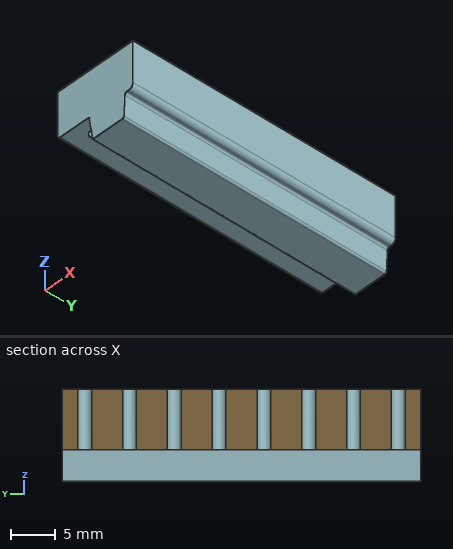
import cadquery as cq
import math

WIDTH = 12.4
LENGTH = 40.0
HEIGHT = 10.3

BLOCK_HEIGHT = 6.8
LEFT_EDGE_RADIUS = 0.5
RIGHT_EDGE_RADIUS = 0.7

LEG_BOTTOM_LEFT = 5.8
LEG_BOTTOM_RIGHT = 10.9
LEFT_DRAFT = 10.0
RIGHT_DRAFT = 3.0
RIGHT_ROOT_RADIUS = 0.3
FOOT_RADIUS = 0.3

HOLE_COUNT = 8
HOLE_PITCH = LENGTH / HOLE_COUNT
HOLE_DIAMETER = 1.5
HOLE_X = 3.5

LEDGE_Z = HEIGHT - BLOCK_HEIGHT
LEG_TOP_LEFT = LEG_BOTTOM_LEFT - LEDGE_Z * math.tan(math.radians(LEFT_DRAFT))
LEG_TOP_RIGHT = LEG_BOTTOM_RIGHT + LEDGE_Z * math.tan(math.radians(RIGHT_DRAFT))


def round_long_edge(body, x, z, radius):
    """Fillet the lengthwise edge at the profile corner (x, z)."""
    edge = cq.selectors.NearestToPointSelector((x, LENGTH / 2, z))
    return body.edges("|Y").edges(edge).fillet(radius)


def make_bar():
    """Extrude the block-and-leg profile along Y, then round its outer and root edges."""
    profile = [
        (0, HEIGHT),
        (0, LEDGE_Z),
        (LEG_TOP_LEFT, LEDGE_Z),
        (LEG_BOTTOM_LEFT, 0),
        (LEG_BOTTOM_RIGHT, 0),
        (LEG_TOP_RIGHT, LEDGE_Z),
        (WIDTH, LEDGE_Z),
        (WIDTH, HEIGHT),
    ]
    body = cq.Workplane("XZ").polyline(profile).close().extrude(-LENGTH)
    body = round_long_edge(body, 0, LEDGE_Z, LEFT_EDGE_RADIUS)
    body = round_long_edge(body, WIDTH, LEDGE_Z, RIGHT_EDGE_RADIUS)
    body = round_long_edge(body, LEG_TOP_RIGHT, LEDGE_Z, RIGHT_ROOT_RADIUS)
    return round_long_edge(body, LEG_BOTTOM_RIGHT, 0, FOOT_RADIUS)


def make_holes():
    """Cylinders along Z, evenly spaced with half a pitch at each end."""
    centers = [(HOLE_X, (i + 0.5) * HOLE_PITCH) for i in range(HOLE_COUNT)]
    return cq.Workplane("XY").pushPoints(centers).circle(HOLE_DIAMETER / 2).extrude(HEIGHT)


result = make_bar().cut(make_holes())